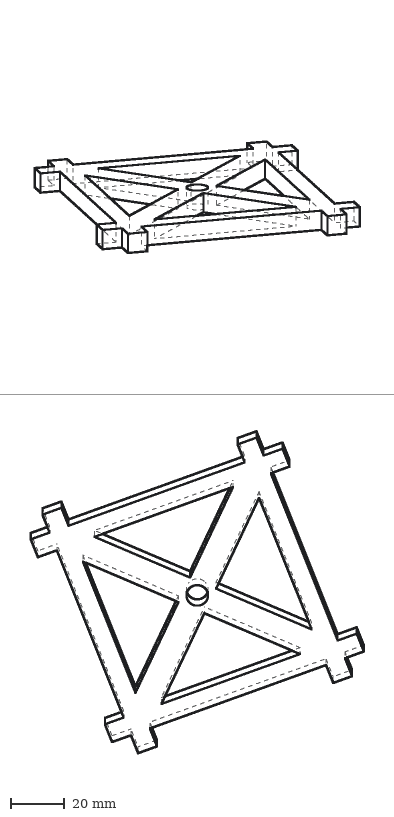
import cadquery as cq
import math

overall_length = 100.0
bar_width = 7.5
thickness = 7.5
hole_diameter = 8.0

frame_size = overall_length - 2 * bar_width
bar_offset = (frame_size - bar_width) / 2

brace_width = bar_width * math.sqrt(2)
brace_length = 2 * bar_offset * math.sqrt(2)


def frame_bars():
    """Four overlapping bars whose ends project past the frame corners."""
    bars = cq.Workplane("XY")
    for side in (-1, 1):
        along_x = cq.Workplane("XY").center(0, side * bar_offset).rect(overall_length, bar_width)
        along_y = cq.Workplane("XY").center(side * bar_offset, 0).rect(bar_width, overall_length)
        bars = bars.add(along_x.extrude(thickness)).add(along_y.extrude(thickness))
    return bars.combine()


def diagonal_brace(angle):
    """Brace joining two opposite corner crossings."""
    brace = cq.Workplane("XY").rect(brace_length, brace_width).extrude(thickness)
    return brace.rotate((0, 0, 0), (0, 0, 1), angle)


frame = frame_bars()
for brace_angle in (45, -45):
    frame = frame.union(diagonal_brace(brace_angle))

result = frame.faces(">Z").workplane(origin=(0, 0, 0)).hole(hole_diameter).clean()